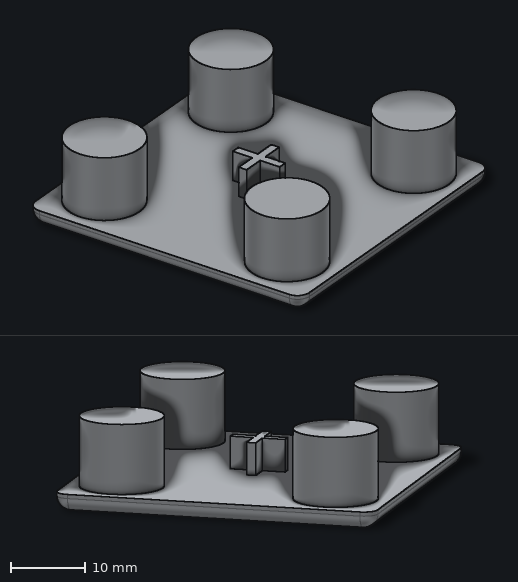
import cadquery as cq

plate_side = 45.0
plate_thickness = 2.5
edge_radius = 2.0

total_height = 12.2
post_diameter = 11.5
post_spacing = 30.0

cross_length = 7.7
cross_arm_width = 1.3
cross_height = 4.5


def make_plate():
    """Square plate standing on Z = 0 with its corners and underside rounded."""
    plate = cq.Workplane("XY").rect(plate_side, plate_side).extrude(plate_thickness)
    return plate.edges("|Z").fillet(edge_radius).faces("<Z").edges().fillet(edge_radius)


def make_posts():
    """Four round posts, one near each corner, rising from the plate top."""
    return (
        cq.Workplane("XY", origin=(0, 0, plate_thickness))
        .rect(post_spacing, post_spacing, forConstruction=True)
        .vertices()
        .circle(post_diameter / 2)
        .extrude(total_height - plate_thickness)
    )


def make_cross():
    """Two crossed ribs at the centre of the plate."""
    base = cq.Workplane("XY", origin=(0, 0, plate_thickness))
    rib_along_x = base.rect(cross_length, cross_arm_width).extrude(cross_height)
    rib_along_y = base.rect(cross_arm_width, cross_length).extrude(cross_height)
    return rib_along_x.union(rib_along_y)


result = make_plate().union(make_posts()).union(make_cross())